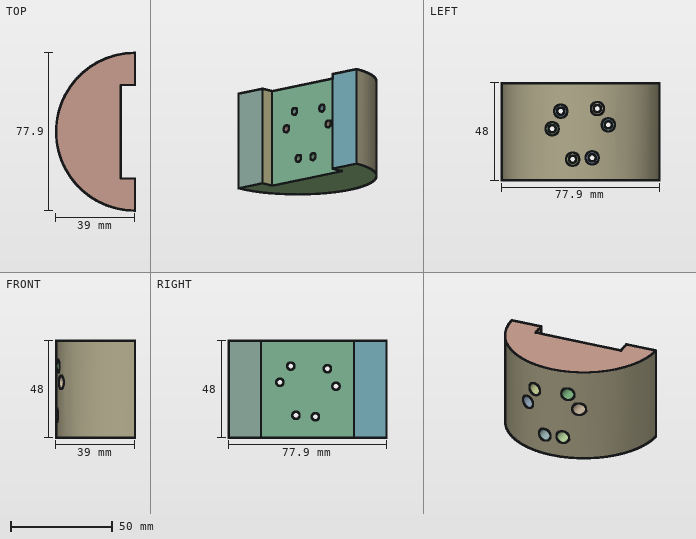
import cadquery as cq
import math

body_radius = 38.963
body_height = 48.0

channel_width = 46.0
channel_depth = 7.0

bolt_circle_radius = 14.075
pair_count = 3
pair_pitch_angle = 360.0 / pair_count
first_pair_angle = 26.0
half_angle_in_pair = 20.0
screw_diameter = 3.5
head_diameter = 6.5
screw_grip = 5.0


def half_cylinder():
    return (
        cq.Workplane("XY")
        .moveTo(0, body_radius)
        .threePointArc((-body_radius, 0), (0, -body_radius))
        .close()
        .extrude(body_height)
    )


def channel():
    return cq.Workplane("XY").box(
        2 * channel_depth, channel_width, body_height, centered=(True, True, False)
    )


def screw_hole_centres():
    """(Y, Z) of each hole, with angles measured from +Y toward +Z."""
    centres = []
    for pair in range(pair_count):
        for side in (-1, 1):
            angle = math.radians(
                first_pair_angle + pair * pair_pitch_angle + side * half_angle_in_pair
            )
            y = bolt_circle_radius * math.cos(angle)
            z = body_height / 2 + bolt_circle_radius * math.sin(angle)
            centres.append((y, z))
    return centres


def bores(diameter, end_x):
    """Round cuts at every hole centre, from the curved side to the plane X = end_x."""
    return (
        cq.Workplane("YZ", origin=(-body_radius, 0, 0))
        .pushPoints(screw_hole_centres())
        .circle(diameter / 2)
        .extrude(body_radius + end_x)
    )


channel_floor_x = -channel_depth
head_seat_x = channel_floor_x - screw_grip

result = (
    half_cylinder()
    .cut(channel())
    .cut(bores(screw_diameter, channel_floor_x))
    .cut(bores(head_diameter, head_seat_x))
)